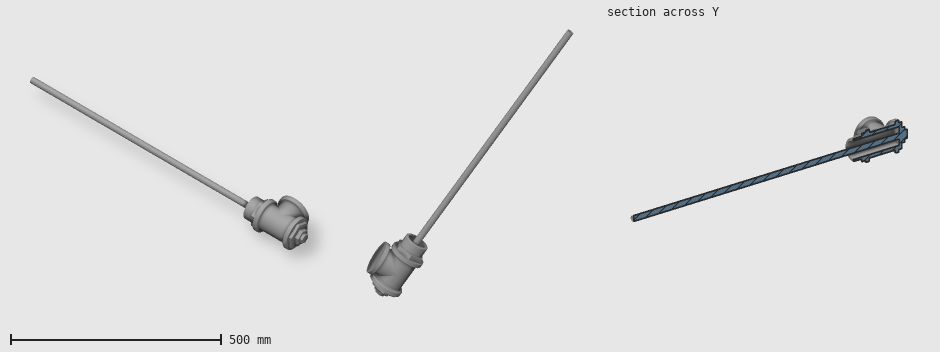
import cadquery as cq
import math


tee_pipe_diameter = 68.0
collar_diameter = 85.0
collar_rim_length = 9.0
collar_fillet = 3.0
run_half_length = 50.0
branch_length = 57.5

nipple_diameter = 60.3
nipple_bore_diameter = 47.5
nipple_length = 25.5
nipple_chamfer = 1.0
nipple_hex_flats = 65.0
nipple_hex_length = 12.0

plug_steps = [(62.0, 7.5), (36.0, 10.0), (22.0, 7.0)]

overall_length = 815.0
rod_diameter = 16.5
rod_recess_diameter = 15.0
rod_recess_depth = 2.5

nipple_hex_start = -run_half_length - nipple_hex_length
nipple_start = nipple_hex_start - nipple_length
plug_end = run_half_length + sum(length for _, length in plug_steps)
rod_start = plug_end - overall_length


def cylinder_x(start, end, diameter):
    """Round bar on the X axis between two X positions."""
    return cq.Workplane("YZ", origin=(start, 0, 0)).circle(diameter / 2).extrude(end - start)


def hexagon_x(start, length, flats):
    """Hexagonal bar on the X axis with two of its corners on the Z direction."""
    corners = flats / math.cos(math.pi / 6)
    bar = cq.Workplane("YZ", origin=(start, 0, 0)).polygon(6, corners).extrude(length)
    return bar.rotate((0, 0, 0), (1, 0, 0), 90)


def collar_outline(profile, arm_length):
    """Draw the filleted back, rim and end face of a collar, starting on the pipe wall."""
    pipe_radius = tee_pipe_diameter / 2
    rim_radius = collar_diameter / 2
    rim_back = arm_length - collar_rim_length
    back_face = rim_back - collar_fillet
    root_start = back_face - collar_fillet
    root_radius = pipe_radius + collar_fillet
    edge_radius = rim_radius - collar_fillet
    along_45 = collar_fillet * math.sqrt(0.5)
    root_middle = (root_start + along_45, root_radius - along_45)
    edge_middle = (rim_back - along_45, edge_radius + along_45)
    return (
        profile.lineTo(root_start, pipe_radius)
        .threePointArc(root_middle, (back_face, root_radius))
        .lineTo(back_face, edge_radius)
        .threePointArc(edge_middle, (rim_back, rim_radius))
        .lineTo(arm_length, rim_radius)
        .lineTo(arm_length, 0)
    )


def tee():
    collar_depth = collar_rim_length + 2 * collar_fillet
    run_pipe_end = run_half_length - collar_depth
    run_pipe = cylinder_x(-run_pipe_end, run_pipe_end, tee_pipe_diameter)
    collar_start = cq.Workplane("XY").moveTo(run_pipe_end, 0)
    collar = collar_outline(collar_start, run_half_length).close().revolve(360, (0, 0, 0), (1, 0, 0))
    branch_start = cq.Workplane("XY").lineTo(0, tee_pipe_diameter / 2)
    branch = collar_outline(branch_start, branch_length).close().revolve(360, (0, 0, 0), (1, 0, 0))
    branch = branch.rotate((0, 0, 0), (0, 0, 1), 90)
    return run_pipe.union(collar).union(collar.mirror("YZ")).union(branch)


def nipple():
    pipe = cylinder_x(nipple_start, nipple_hex_start, nipple_diameter)
    pipe = pipe.faces("<X").chamfer(nipple_chamfer)
    return pipe.union(hexagon_x(nipple_hex_start, nipple_hex_length, nipple_hex_flats))


def plug():
    body = cq.Workplane("YZ")
    start = run_half_length
    for flats, length in plug_steps:
        body = body.union(hexagon_x(start, length, flats))
        start += length
    return body


def rod():
    bar = cylinder_x(rod_start, run_half_length, rod_diameter)
    return bar.cut(cylinder_x(rod_start, rod_start + rod_recess_depth, rod_recess_diameter))


housing = tee().union(nipple()).union(plug())
housing = housing.cut(cylinder_x(nipple_start, run_half_length, nipple_bore_diameter))
result = housing.union(rod())